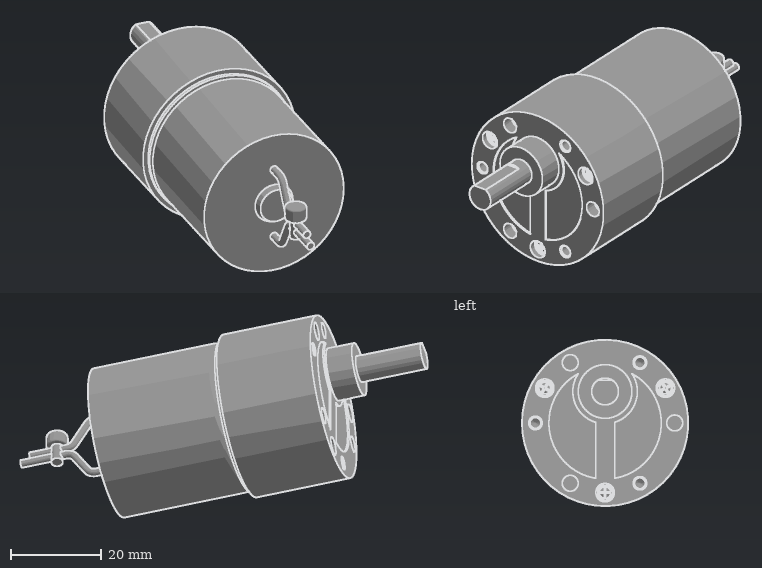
import cadquery as cq
import math


overall_length = 93.2

shaft_offset = 7.0
shaft_radius = 3.0
shaft_length = 21.0
flat_length = 12.0
flat_height = 2.5
boss_radius = 6.0
boss_length = 6.0

gearbox_diameter = 37.0
gearbox_length = 21.6
ring_radius = 17.2
ring_length = 0.8
motor_radius = 17.0
motor_length = 29.5
motor_fillet = 1.4
cap_base_radius = 4.6
cap_end_radius = 3.9
cap_length = 1.5
cap_bulge = 0.1
motor_start = gearbox_length + ring_length
motor_end = motor_start + motor_length

recess_radius = 12.5
recess_depth = 0.4
collar_radius = 7.2
rib_width = 4.2

bolt_circle_radius = 15.5
plain_angles = (180, 60, 300)
tapped_angles = (0, 120, 240)
screw_angles = (30, 150, 270)
plain_radius = 1.8
plain_depth = 3.0
tapped_mouth_radius = 1.5
drill_radius = 1.2
drill_depth = 5.0
drill_point_angle = 118

screw_well_radius = 2.05
screw_well_depth = 1.6
head_radius = 1.7
head_rim = 0.2
dome_radius = 1.3
dome_height = 0.4
slot_width = 0.4
slot_length = 2.2
slot_depth = 0.4

wire_radius = 0.89
wire_spread = 8.4
wire_gap_offset = 0.9
wire_stub = 3.0
wire_bend_radius = 2.3
wire_bend_angle = math.radians(60)
wire_end = overall_length - shaft_length
upper_wire_trim = 2.05

clip_x = 63.95
clip_stem_radius = 1.3
clip_stem_bottom = -2.7
clip_head_radius = 2.4
clip_head_bottom = 1.9
clip_head_top = 5.2
clip_head_fillet = 0.5


def cylinder_x(start, length, radius, z=0):
    """Solid cylinder along +X."""
    return cq.Workplane("YZ", origin=(start, 0, z)).circle(radius).extrude(length)


def make_body():
    gearbox = cylinder_x(0, gearbox_length, gearbox_diameter / 2)
    ring = cylinder_x(gearbox_length, ring_length, ring_radius)
    motor = cylinder_x(motor_start, motor_length, motor_radius).edges("<X").fillet(motor_fillet)
    return gearbox.union(ring).union(motor)


def make_cap():
    """Bearing cap on the rear of the motor, with a slightly bulging tapered side."""
    cap_end = motor_end + cap_length
    side_middle = (
        motor_end + cap_length / 2,
        (cap_base_radius + cap_end_radius) / 2 + cap_bulge,
    )
    return (
        cq.Workplane("XY")
        .moveTo(motor_end, 0)
        .lineTo(motor_end, cap_base_radius)
        .threePointArc(side_middle, (cap_end, cap_end_radius))
        .lineTo(cap_end, 0)
        .close()
        .revolve(360, (0, 0, 0), (1, 0, 0))
    )


def make_shaft():
    shaft = cylinder_x(-shaft_length, shaft_length, shaft_radius, z=shaft_offset)
    above_flat = cq.Workplane("XY").box(
        flat_length, 2 * shaft_radius, shaft_radius, centered=(False, True, False)
    ).translate((-shaft_length, 0, shaft_offset + flat_height))
    boss = cylinder_x(-boss_length, boss_length, boss_radius, z=shaft_offset)
    return shaft.cut(above_flat).union(boss)


def make_recess():
    disc = cylinder_x(0, recess_depth, recess_radius)
    collar = cylinder_x(0, recess_depth, collar_radius, z=shaft_offset)
    rib = cq.Workplane("XY").box(
        recess_depth, rib_width, recess_radius + shaft_offset, centered=(False, True, False)
    ).translate((0, 0, -recess_radius))
    return disc.cut(collar).cut(rib)


def on_bolt_circle(tool, angles):
    """Copies of a tool made on the X axis, moved out along +Y and turned about X."""
    moved = tool.translate((0, bolt_circle_radius, 0))
    copies = cq.Workplane("XY")
    for angle in angles:
        copies = copies.add(moved.rotate((0, 0, 0), (1, 0, 0), angle))
    return copies.combine()


def make_tapped_hole():
    """Drilled hole with a 45 degree countersunk mouth and a conical point."""
    mouth_depth = tapped_mouth_radius - drill_radius
    point_depth = drill_radius / math.tan(math.radians(drill_point_angle / 2))
    return (
        cq.Workplane("XY")
        .lineTo(0, tapped_mouth_radius)
        .lineTo(mouth_depth, drill_radius)
        .lineTo(drill_depth, drill_radius)
        .lineTo(drill_depth + point_depth, 0)
        .close()
        .revolve(360, (0, 0, 0), (1, 0, 0))
    )


def make_screw_head():
    """Domed head standing on the floor of its well, with its cross slot."""
    rim_x = screw_well_depth - head_rim
    top_x = rim_x - dome_height
    sphere_radius = (dome_radius**2 + dome_height**2) / (2 * dome_height)
    half_angle = math.asin(dome_radius / sphere_radius) / 2
    arc_middle = (
        top_x + sphere_radius * (1 - math.cos(half_angle)),
        sphere_radius * math.sin(half_angle),
    )
    head = (
        cq.Workplane("XY")
        .moveTo(top_x, 0)
        .threePointArc(arc_middle, (rim_x, dome_radius))
        .lineTo(rim_x, head_radius)
        .lineTo(screw_well_depth, head_radius)
        .lineTo(screw_well_depth, 0)
        .close()
        .revolve(360, (0, 0, 0), (1, 0, 0))
    )
    slot = cq.Workplane("YZ", origin=(top_x, 0, 0)).rect(slot_length, slot_width).extrude(slot_depth)
    crossing_slot = slot.rotate((0, 0, 0), (1, 0, 0), 90)
    return head.cut(slot).cut(crossing_slot)


def make_wire(end_x):
    """Upper wire: straight out, down along a slope, then straight beside the motor axis."""
    bend_run = wire_bend_radius * math.sin(wire_bend_angle)
    bend_drop = wire_bend_radius * (1 - math.cos(wire_bend_angle))
    mid_run = wire_bend_radius * math.sin(wire_bend_angle / 2)
    mid_drop = wire_bend_radius * (1 - math.cos(wire_bend_angle / 2))
    slope_drop = wire_spread - wire_gap_offset - 2 * bend_drop
    slope_run = slope_drop / math.tan(wire_bend_angle)

    stub_x = motor_end + wire_stub
    slope_x = stub_x + bend_run
    slope_end_x = slope_x + slope_run
    straight_x = slope_end_x + bend_run
    path = (
        cq.Workplane("XZ")
        .moveTo(motor_end, wire_spread)
        .lineTo(stub_x, wire_spread)
        .threePointArc((stub_x + mid_run, wire_spread - mid_drop), (slope_x, wire_spread - bend_drop))
        .lineTo(slope_end_x, wire_gap_offset + bend_drop)
        .threePointArc((straight_x - mid_run, wire_gap_offset + mid_drop), (straight_x, wire_gap_offset))
        .lineTo(end_x, wire_gap_offset)
    )
    return cq.Workplane("YZ", origin=(motor_end, 0, wire_spread)).circle(wire_radius).sweep(path)


def make_clip():
    stem = (
        cq.Workplane("XY", origin=(clip_x, 0, clip_stem_bottom))
        .circle(clip_stem_radius)
        .extrude(clip_head_top - clip_head_fillet - clip_stem_bottom)
    )
    head = (
        cq.Workplane("XY", origin=(clip_x, 0, clip_head_bottom))
        .circle(clip_head_radius)
        .extrude(clip_head_top - clip_head_bottom)
        .edges()
        .fillet(clip_head_fillet)
    )
    return stem.union(head)


plain_hole = cylinder_x(0, plain_depth, plain_radius)
screw_well = cylinder_x(0, screw_well_depth, screw_well_radius)
upper_wire = make_wire(wire_end - upper_wire_trim)
lower_wire = make_wire(wire_end).mirror("XY")

result = (
    make_body()
    .cut(make_recess())
    .cut(on_bolt_circle(plain_hole, plain_angles))
    .cut(on_bolt_circle(make_tapped_hole(), tapped_angles))
    .cut(on_bolt_circle(screw_well, screw_angles))
    .union(on_bolt_circle(make_screw_head(), screw_angles))
    .union(make_cap())
    .union(make_shaft())
    .union(upper_wire)
    .union(lower_wire)
    .union(make_clip())
)